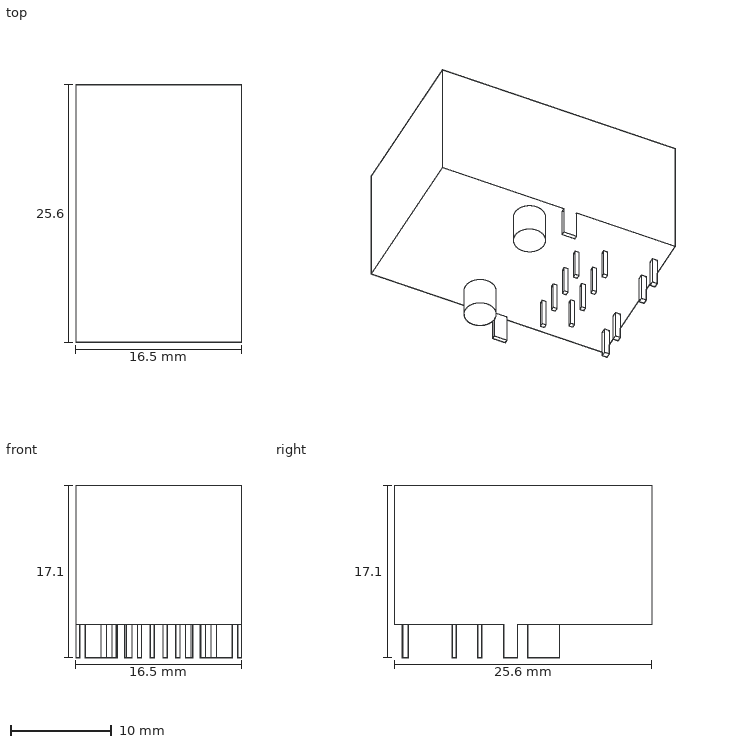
import cadquery as cq


BODY_WIDTH = 16.5
BODY_DEPTH = 25.65
BODY_HEIGHT = 13.85
LEAD_LENGTH = 3.3

POST_DIAMETER = 3.2
POST_SPACING = 11.43
POST_Y = 2.03

TAB_THICKNESS = 0.4
TAB_WIDTH = 1.4
TAB_Y = -1.26

CONTACT_COUNT = 8
CONTACT_PITCH = 1.27
CONTACT_ROW_SPACING = 2 * CONTACT_PITCH
CONTACT_SIZE = 0.43
POST_TO_REAR_ROW = 6.35
CONTACT_REAR_ROW_Y = POST_Y - POST_TO_REAR_ROW

LAMP_SPACING = 8.38
LAMP_PIN_PITCH = 2.54
LAMP_PIN_SIZE = 0.54
LEFT_LAMP_Y = -11.78
RIGHT_LAMP_Y = -11.7


def make_body():
    """Plain housing block standing on the board surface."""
    return cq.Workplane("XY").box(BODY_WIDTH, BODY_DEPTH, BODY_HEIGHT, centered=(True, True, False))


def make_leads(points, size_x, size_y):
    """Rectangular leads hanging down from the housing at the given points."""
    return cq.Workplane("XY").pushPoints(points).rect(size_x, size_y).extrude(-LEAD_LENGTH)


def make_posts():
    """Pair of cylindrical locating posts."""
    points = [(side * POST_SPACING / 2, POST_Y) for side in (-1, 1)]
    return cq.Workplane("XY").pushPoints(points).circle(POST_DIAMETER / 2).extrude(-LEAD_LENGTH)


def make_shield_tabs():
    """One flat tab continuing each side wall downward."""
    tab_x = (BODY_WIDTH - TAB_THICKNESS) / 2
    points = [(side * tab_x, TAB_Y) for side in (-1, 1)]
    return make_leads(points, TAB_THICKNESS, TAB_WIDTH)


def make_contact_pins():
    """Evenly pitched pins, alternating between rows and starting in the front one."""
    first_x = -(CONTACT_COUNT - 1) * CONTACT_PITCH / 2
    points = []
    for index in range(CONTACT_COUNT):
        row = (index + 1) % 2
        points.append((first_x + index * CONTACT_PITCH, CONTACT_REAR_ROW_Y - row * CONTACT_ROW_SPACING))
    return make_leads(points, CONTACT_SIZE, CONTACT_SIZE)


def make_lamp_pins():
    """Two square pins for each lamp; the two lamps sit at slightly different depths."""
    points = []
    for side, lamp_y in ((-1, LEFT_LAMP_Y), (1, RIGHT_LAMP_Y)):
        lamp_x = side * LAMP_SPACING / 2
        points.append((lamp_x - LAMP_PIN_PITCH / 2, lamp_y))
        points.append((lamp_x + LAMP_PIN_PITCH / 2, lamp_y))
    return make_leads(points, LAMP_PIN_SIZE, LAMP_PIN_SIZE)


result = make_body()
for leads in (make_posts(), make_shield_tabs(), make_contact_pins(), make_lamp_pins()):
    result = result.union(leads)